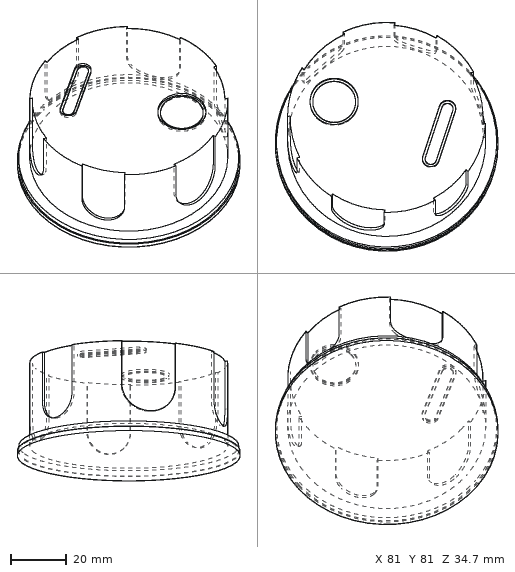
import cadquery as cq

outer_diameter = 81.0
total_height = 34.7

base_thickness = 1.7

flange_diameter = 80.0
flange_thickness = 2.0
drum_diameter = 72.0
drum_radius = drum_diameter / 2

grip_depth = 1.0
grip_floor_radius = drum_radius - grip_depth
grip_bottom_z = 8.7
wide_grip_width = 20.0
narrow_grip_width = 16.0
grips_per_width = 3
grip_spacing = 360 / grips_per_width
first_wide_angle = 90
first_narrow_angle = first_wide_angle + grip_spacing / 2

groove_width = 1.0
groove_depth = 1.0
island_depth = 0.5
marking_offset = 20.0
button_recess_diameter = 17.5
slot_recess_length = 26.0
slot_recess_width = 6.1


def make_base():
    return cq.Workplane("XY").circle(outer_diameter / 2).extrude(base_thickness)


def make_blank():
    """Plain flange and drum, resting on the base plate."""
    return (
        cq.Workplane("XY", origin=(0, 0, base_thickness))
        .circle(flange_diameter / 2)
        .extrude(flange_thickness)
        .faces(">Z")
        .workplane()
        .circle(drum_radius)
        .extrude(total_height - base_thickness - flange_thickness)
    )


def make_grip_cutter(width, angle):
    """Round-ended bar pointing along +X, hollowed to the grip floor, then turned to its angle."""
    half_width = width / 2
    arc_center_z = grip_bottom_z + half_width
    bar = (
        cq.Workplane("YZ")
        .moveTo(-half_width, total_height)
        .lineTo(-half_width, arc_center_z)
        .threePointArc((0, grip_bottom_z), (half_width, arc_center_z))
        .lineTo(half_width, total_height)
        .close()
        .extrude(drum_diameter)
    )
    floor = cq.Workplane("XY").circle(grip_floor_radius).extrude(total_height)
    return bar.cut(floor).rotate((0, 0, 0), (0, 0, 1), angle)


def cut_grips(body, width, first_angle):
    for index in range(grips_per_width):
        body = body.cut(make_grip_cutter(width, first_angle + index * grip_spacing))
    return body


def top_prism(x, length, width, bottom_depth):
    """Round-ended prism along Y, from the given depth up to the top face."""
    plane = cq.Workplane("XY", origin=(x, 0, total_height - bottom_depth))
    if length > width:
        outline = plane.slot2D(length, width, 90)
    else:
        outline = plane.circle(width / 2)
    return outline.extrude(bottom_depth)


def cut_sunken_island(body, x, length, width):
    """Cut the shallow recess and the deeper groove that runs along its edge."""
    inner_length = length - 2 * groove_width
    inner_width = width - 2 * groove_width
    recess = top_prism(x, length, width, island_depth)
    groove = top_prism(x, length, width, groove_depth).cut(
        top_prism(x, inner_length, inner_width, groove_depth)
    )
    return body.cut(recess).cut(groove)


def make_housing():
    body = make_blank()
    body = cut_grips(body, wide_grip_width, first_wide_angle)
    body = cut_grips(body, narrow_grip_width, first_narrow_angle)
    body = cut_sunken_island(body, -marking_offset, slot_recess_length, slot_recess_width)
    body = cut_sunken_island(body, marking_offset, button_recess_diameter, button_recess_diameter)
    return body


base = make_base()
housing = make_housing()

result = cq.Compound.makeCompound([base.val(), housing.val()])